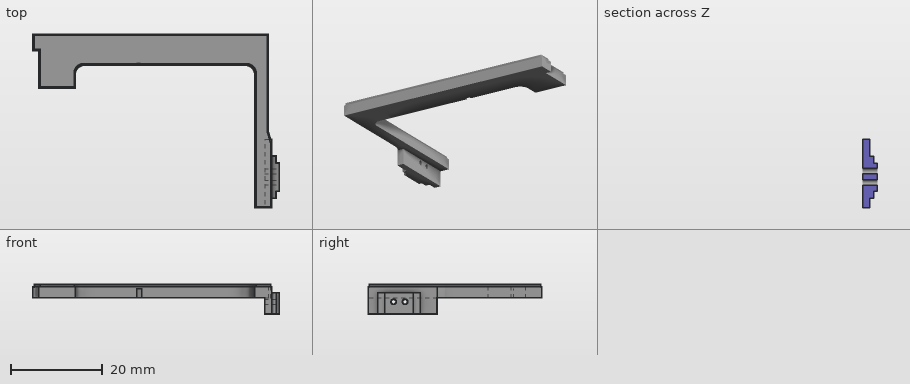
import cadquery as cq

length = 53.8
depth = 37.8
height = 6.5

frame_thickness = 2.95
step_height = 0.6
wide_inset = 0.4
narrow_inset = 0.2
frame_bottom = height - frame_thickness
step_bottom = height - step_height

beam_width = 6.7
block_front = depth - 11.75
block_right = 9.25
notch_width = 1.35
notch_front = depth - 3.6
leg_left = 48.4
corner_right = 51.3
leg_right = 52.15
jog_back = depth - 21.05
jog_front = depth - 23.8
beam_front = depth - beam_width
inner_radius = 2.0

slot_left = 22.75
slot_width = 1.0
slot_depth = 0.55
slot_top = height - 0.95

wall_left = 50.55
wall_length = 15.0

pad_top = height - 1.85
pad_center = depth - 31.1
base_pad_length = 9.3
base_pad_right = 53.1
outer_pad_length = 6.2

hole_diameter = 1.1
hole_positions = [depth - 29.8, depth - 32.3]
hole_height = height - 3.8


def box(x_min, x_max, y_min, y_max, z_min, z_max):
    """Make a block from its limits along each axis."""
    size = (x_max - x_min, y_max - y_min, z_max - z_min)
    return cq.Workplane("XY").box(*size, centered=False).translate((x_min, y_min, z_min))


def frame_layer(bottom, top, wide, narrow):
    """Extrude the frame outline, drawn in by the wide and narrow insets."""
    front_edge = beam_front + wide
    block_edge = block_right - narrow
    leg_edge = leg_left + wide
    points = [
        (wide, depth - narrow),
        (corner_right - narrow, depth - narrow),
        (corner_right - narrow, jog_back),
        (leg_right - narrow, jog_front),
        (leg_right - narrow, narrow),
        (leg_edge, narrow),
        (leg_edge, front_edge),
        (block_edge, front_edge),
        (block_edge, block_front + wide),
        (notch_width + wide, block_front + wide),
        (notch_width + wide, notch_front + wide),
        (wide, notch_front + wide),
    ]
    layer = cq.Workplane("XY").workplane(offset=bottom).polyline(points).close().extrude(top - bottom)
    middle = (bottom + top) / 2
    for corner_x, inset in ((leg_edge, wide), (block_edge, narrow)):
        corner = cq.selectors.NearestToPointSelector((corner_x, front_edge, middle))
        layer = layer.edges("|Z").edges(corner).fillet(inner_radius + inset)
    return layer


def pad(right, pad_length):
    """Make one tier of the pad, starting inside the wall."""
    half = pad_length / 2
    return box(wall_left, right, pad_center - half, pad_center + half, 0, pad_top)


frame = frame_layer(frame_bottom, step_bottom, 0, 0)
frame = frame.union(frame_layer(step_bottom, height, wide_inset, narrow_inset))

slot = box(slot_left, slot_left + slot_width, beam_front, beam_front + slot_depth, frame_bottom, slot_top)
frame = frame.cut(slot)

wall = box(wall_left, leg_right, 0, wall_length, 0, step_bottom)
result = frame.union(wall)
result = result.union(pad(base_pad_right, base_pad_length))
result = result.union(pad(length, outer_pad_length))

for hole_y in hole_positions:
    hole = cq.Workplane("YZ").center(hole_y, hole_height).circle(hole_diameter / 2).extrude(length)
    result = result.cut(hole)